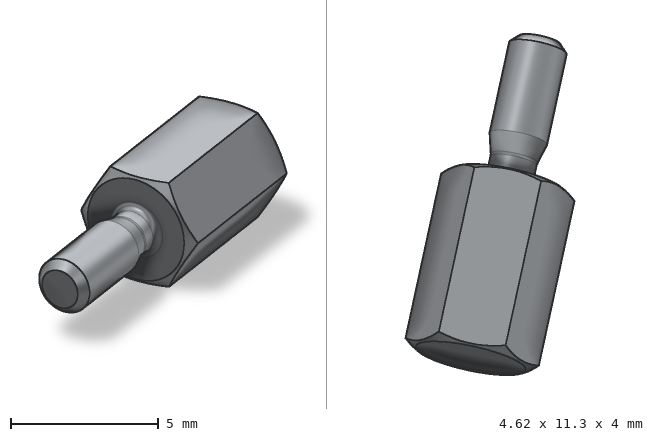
import cadquery as cq
import math

total_length = 11.3
stud_length = 5.0
across_flats = 4.0
across_corners = across_flats / math.cos(math.radians(30))

face_diameter = 3.81
chamfer_angle = 30.0
corner_drop = (across_corners - face_diameter) / 2 * math.tan(math.radians(chamfer_angle))

stud_diameter = 2.0
neck_diameter = 1.6
root_fillet = 0.24
neck_length = 0.7
blend_radius = 0.4
taper_angle = math.radians(15)
tip_chamfer = 0.29

tip_y = -total_length / 2
shoulder_y = tip_y + stud_length
back_y = total_length / 2


def hex_body():
    """Hexagonal prism with both ends turned to a conical chamfer."""
    prism = (
        cq.Workplane("XZ", origin=(0, back_y, 0))
        .polygon(6, across_corners)
        .extrude(back_y - shoulder_y)
    )
    face_radius = face_diameter / 2
    corner_radius = across_corners / 2
    turned_envelope = (
        cq.Workplane("XY")
        .moveTo(0, shoulder_y)
        .lineTo(face_radius, shoulder_y)
        .lineTo(corner_radius, shoulder_y + corner_drop)
        .lineTo(corner_radius, back_y - corner_drop)
        .lineTo(face_radius, back_y)
        .lineTo(0, back_y)
        .close()
        .revolve(360, (0, 0, 0), (0, 1, 0))
    )
    return prism.intersect(turned_envelope)


def stud():
    """Turned stud: filleted root, relief neck, blended taper and chamfered tip."""
    neck_radius = neck_diameter / 2
    stud_radius = stud_diameter / 2
    fillet_mid = root_fillet * (1 - math.sqrt(0.5))
    neck_end_y = shoulder_y - neck_length

    def blend_point(angle):
        radius = neck_radius + blend_radius * (1 - math.cos(angle))
        return (radius, neck_end_y - blend_radius * math.sin(angle))

    taper_start_radius, taper_start_y = blend_point(taper_angle)
    taper_length = (stud_radius - taper_start_radius) / math.tan(taper_angle)
    return (
        cq.Workplane("XY")
        .moveTo(0, tip_y)
        .lineTo(stud_radius - tip_chamfer, tip_y)
        .lineTo(stud_radius, tip_y + tip_chamfer)
        .lineTo(stud_radius, taper_start_y - taper_length)
        .lineTo(taper_start_radius, taper_start_y)
        .threePointArc(blend_point(taper_angle / 2), (neck_radius, neck_end_y))
        .lineTo(neck_radius, shoulder_y - root_fillet)
        .threePointArc(
            (neck_radius + fillet_mid, shoulder_y - fillet_mid),
            (neck_radius + root_fillet, shoulder_y),
        )
        .lineTo(0, shoulder_y)
        .close()
        .revolve(360, (0, 0, 0), (0, 1, 0))
    )


result = hex_body().union(stud())